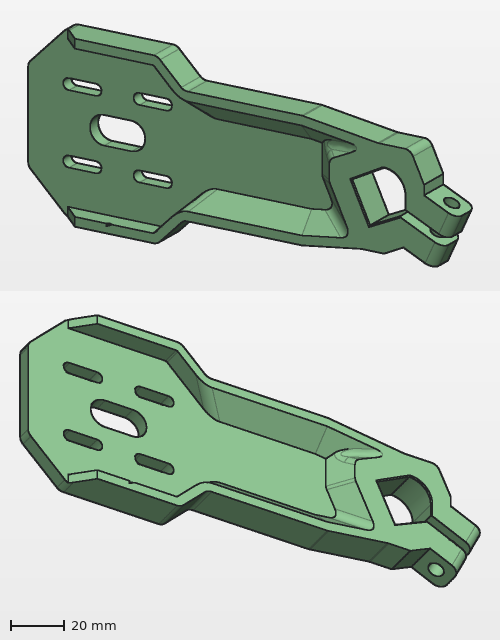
import cadquery as cq
import math

length = 193.36
height = 75.3
depth = 14.0
plate_thickness = 6.0
pocket_depth = depth - plate_thickness
wall = 4.0
edge_radius = 4.0
wall_draft = 45.0

clearance = 1.0
tolerance = 0.01

head_half_height = height / 2
head_corner = 17.1
head_right = 61.7
inner_corner_radius = 1.0
rail_end = 25.5

arm_half_height = 26.0
arm_start = head_right + head_half_height - arm_half_height
arm_bend = 125.5
arm_slope = 0.138
nose_top = 21.4
nose_bottom = -22.4
nose_corner = 173.1
nose_shoulder = (179.1, 8.6)
chin = 161.5
lower_lug_root_x = 170.0

motor_x = 39.4
bolt_spacing = 31.0
slot_travel = 12.0
bolt_slot_width = 4.8
shaft_slot_width = 12.2

clamp_tilt = math.radians(25)
clamp_x = 159.6
lug_half_height = 12.2
slit_half_width = 2.0
screw_diameter = 6.3
screw_setback = depth / 2
bore_side = 18.6
bore_round_radius = 9.3
bore_round_centre = (161.25, 2.45)
bore_chamfer = 0.5

end_wall_x = 137.4
end_wall_knee_z = 1.9
end_wall_crest_z = 10.9
pocket_radius = 5.0
horn_tip_radius = 2.8


def clamp_point(along, across):
    """Point in XZ given along and across the slit, from the bore centre."""
    x = clamp_x + along * math.cos(clamp_tilt) + across * math.sin(clamp_tilt)
    z = -along * math.sin(clamp_tilt) + across * math.cos(clamp_tilt)
    return x, z


def clamp_along(x, across):
    """Distance along the slit at which a line held at `across` reaches x."""
    return (x - clamp_x - across * math.sin(clamp_tilt)) / math.cos(clamp_tilt)


def crossing(point_a, angle_a, point_b, angle_b):
    """Meeting point of two lines, each given by a point and an angle."""
    dx, dz = point_b[0] - point_a[0], point_b[1] - point_a[1]
    reach = (dx * math.sin(angle_b) - dz * math.cos(angle_b)) / math.sin(angle_b - angle_a)
    return point_a[0] + reach * math.cos(angle_a), point_a[1] + reach * math.sin(angle_a)


def prism(points, thickness, taper=0):
    """Extrude an XZ outline from the front face towards +Y."""
    return cq.Workplane("XZ").polyline(points).close().extrude(-thickness, taper=taper)


def front_end(edge):
    """The end of an edge that lies nearer the front face."""
    return min(edge.startPoint(), edge.endPoint(), key=lambda point: point.y)


def descending_edges(solid, x_min):
    """Edges running from the front face down into the pocket, starting beyond x_min."""
    chosen = []
    for edge in solid.edges().vals():
        top = front_end(edge)
        drop = abs(edge.startPoint().y - edge.endPoint().y)
        if drop > tolerance and top.y < tolerance and top.x > x_min:
            chosen.append(edge)
    return chosen


lug_end = clamp_along(length, lug_half_height)


def body():
    """Full-depth silhouette with its rounded corners and lug ends."""
    upper_lug_root = clamp_along(nose_shoulder[0], lug_half_height)
    lower_lug_root = clamp_along(lower_lug_root_x, -lug_half_height)
    shoulders = [
        (0, head_half_height - head_corner),
        (head_corner, head_half_height),
        (head_right, head_half_height),
        (arm_start, arm_half_height),
        (arm_bend, arm_half_height),
    ]
    upper = shoulders + [
        (arm_bend + (arm_half_height - nose_top) / arm_slope, nose_top),
        (nose_corner, nose_top),
    ]
    clamp = [
        nose_shoulder,
        clamp_point(upper_lug_root, lug_half_height),
        clamp_point(lug_end, lug_half_height),
        clamp_point(lug_end, -lug_half_height),
        clamp_point(lower_lug_root, -lug_half_height),
        (chin, nose_bottom),
    ]
    lower = [(arm_bend + (arm_half_height + nose_bottom) / arm_slope, nose_bottom)]
    lower += [(x, -z) for x, z in reversed(shoulders)]
    solid = prism(upper + clamp + lower, depth)

    for x, z in upper + lower:
        low = (x - tolerance, 0, z - tolerance)
        high = (x + tolerance, depth, z + tolerance)
        solid = solid.edges("|Y").edges(cq.selectors.BoxSelector(low, high)).fillet(edge_radius)

    tip_edges = []
    for edge in solid.edges("#Y").vals():
        x, _, z = edge.Center().toTuple()
        along = (x - clamp_x) * math.cos(clamp_tilt) - z * math.sin(clamp_tilt)
        if abs(along - lug_end) < tolerance:
            tip_edges.append(edge)
    return solid.newObject(tip_edges).fillet(edge_radius)


def head_pocket():
    """Straight-walled pocket over the head, narrowing at 45 degrees into the arm."""
    half_height = head_half_height - wall
    corner_x = head_right - wall * math.tan(math.pi / 8)
    throat = arm_half_height - wall - pocket_depth - clearance
    throat_x = corner_x + half_height - throat
    outline = [
        (-clearance, half_height),
        (corner_x, half_height),
        (throat_x, throat),
        (throat_x, -throat),
        (corner_x, -half_height),
        (-clearance, -half_height),
    ]
    pocket = prism(outline, pocket_depth)
    low = (corner_x - tolerance, 0, -height)
    high = (corner_x + tolerance, depth, height)
    return pocket.edges("|Y").edges(cq.selectors.BoxSelector(low, high)).fillet(inner_corner_radius)


def arm_pocket():
    """Pocket with 45 degree walls, joined from convex pieces around the two reflex end corners."""
    start = motor_x
    half_height = arm_half_height - wall
    side_angle = math.atan(arm_slope)
    bend = (arm_bend - wall * math.tan(side_angle / 2), half_height)
    low_bend = (bend[0], -bend[1])
    crest = (end_wall_x, end_wall_crest_z)
    knee = (end_wall_x, end_wall_knee_z)
    vertical = math.pi / 2
    low_angle = clamp_tilt - vertical

    start_top = (start, half_height)
    start_bottom = (start, -half_height)
    upper_end = crossing(bend, -side_angle, crest, vertical)
    lower_end = crossing(low_bend, side_angle, crest, vertical)
    straight = [start_top, bend, upper_end, lower_end, low_bend, start_bottom]

    tip = crossing(bend, -side_angle, crest, clamp_tilt)
    crest_start = crossing((start, 0), vertical, crest, clamp_tilt)
    upper_horn = prism([start_top, bend, tip, crest_start], pocket_depth, wall_draft)
    horn_tip = descending_edges(upper_horn, end_wall_x + clearance)
    upper_horn = upper_horn.newObject(horn_tip).fillet(horn_tip_radius)

    heel = crossing(low_bend, side_angle, knee, low_angle)
    slant_top = crossing(bend, -side_angle, knee, low_angle)
    lower_horn = prism([start_top, bend, slant_top, heel, low_bend, start_bottom], pocket_depth, wall_draft)
    return prism(straight, pocket_depth, wall_draft).union(upper_horn).union(lower_horn)


def pockets():
    """Head and arm pockets joined, with the edges between their sloping walls rounded."""
    cutter = head_pocket().union(arm_pocket()).clean()
    corners = []
    for edge in descending_edges(cutter, arm_start - wall):
        x, _, z = front_end(edge).toTuple()
        on_rounded_horn = x > end_wall_x + clearance and z > end_wall_crest_z
        if not on_rounded_horn:
            corners.append(edge)
    return cutter.newObject(corners).fillet(pocket_radius)


def rail_ramps():
    """Clears the left end of the plate front, leaving 45 degree ramps on the rails."""
    profile = [
        (-clearance, -clearance),
        (rail_end, -clearance),
        (rail_end, 0),
        (rail_end - pocket_depth, pocket_depth),
        (-clearance, pocket_depth),
    ]
    return cq.Workplane("XY").polyline(profile).close().extrude(head_half_height + clearance, both=True)


def slots(centres, width):
    """Slots along X with the shared travel, cut right through the part."""
    face = cq.Workplane("XZ").pushPoints(centres)
    return face.slot2D(slot_travel + width, width).extrude(-depth)


def mounting_slots():
    """Central shaft slot and four bolt slots through the plate."""
    half = bolt_spacing / 2
    bolt_spots = [(motor_x + i * half, j * half) for i in (-1, 1) for j in (-1, 1)]
    return slots(bolt_spots, bolt_slot_width).union(slots([(motor_x, 0)], shaft_slot_width))


def clamp_bore():
    """Square bore whose upper right side bulges out into an arc."""
    half_diagonal = bore_side / math.sqrt(2)
    to_left = clamp_tilt + 3 * math.pi / 4
    to_bottom = to_left + math.pi / 2
    cx, cz = bore_round_centre
    right_x = cx + bore_round_radius
    middle_offset = bore_round_radius * math.sqrt(0.5)
    left = (clamp_x + half_diagonal * math.cos(to_left), half_diagonal * math.sin(to_left))
    bottom = (clamp_x + half_diagonal * math.cos(to_bottom), half_diagonal * math.sin(to_bottom))
    arc_start = (cx, cz + bore_round_radius)
    low_right = crossing(bottom, clamp_tilt, (right_x, 0), math.pi / 2)
    outline = (
        cq.Workplane("XZ")
        .moveTo(*bottom)
        .lineTo(*left)
        .lineTo(*arc_start)
        .threePointArc((cx + middle_offset, cz + middle_offset), (right_x, cz))
        .lineTo(*low_right)
        .close()
    )
    return outline.extrude(-depth)


def bored_body():
    """Body with the clamp bore cut and its front rim chamfered."""
    solid = body().cut(clamp_bore())
    rim = solid.faces("<Y").val().innerWires()[0]
    return solid.newObject(rim.Edges()).chamfer(bore_chamfer)


def clamp_slit():
    """Slit from the bore out through the end of the clamp."""
    outline = [
        clamp_point(0, slit_half_width),
        clamp_point(lug_end + clearance, slit_half_width),
        clamp_point(lug_end + clearance, -slit_half_width),
        clamp_point(0, -slit_half_width),
    ]
    return prism(outline, depth)


def screw_hole():
    """Clamping screw hole across both lugs."""
    x, z = clamp_point(lug_end - screw_setback, -lug_half_height - clearance)
    axis = cq.Vector(math.sin(clamp_tilt), 0, math.cos(clamp_tilt))
    reach = 2 * (lug_half_height + clearance)
    start = cq.Vector(x, depth / 2, z)
    return cq.Workplane(cq.Solid.makeCylinder(screw_diameter / 2, reach, start, axis))


result = bored_body().cut(pockets()).cut(rail_ramps()).cut(mounting_slots())
result = result.cut(clamp_slit()).cut(screw_hole())